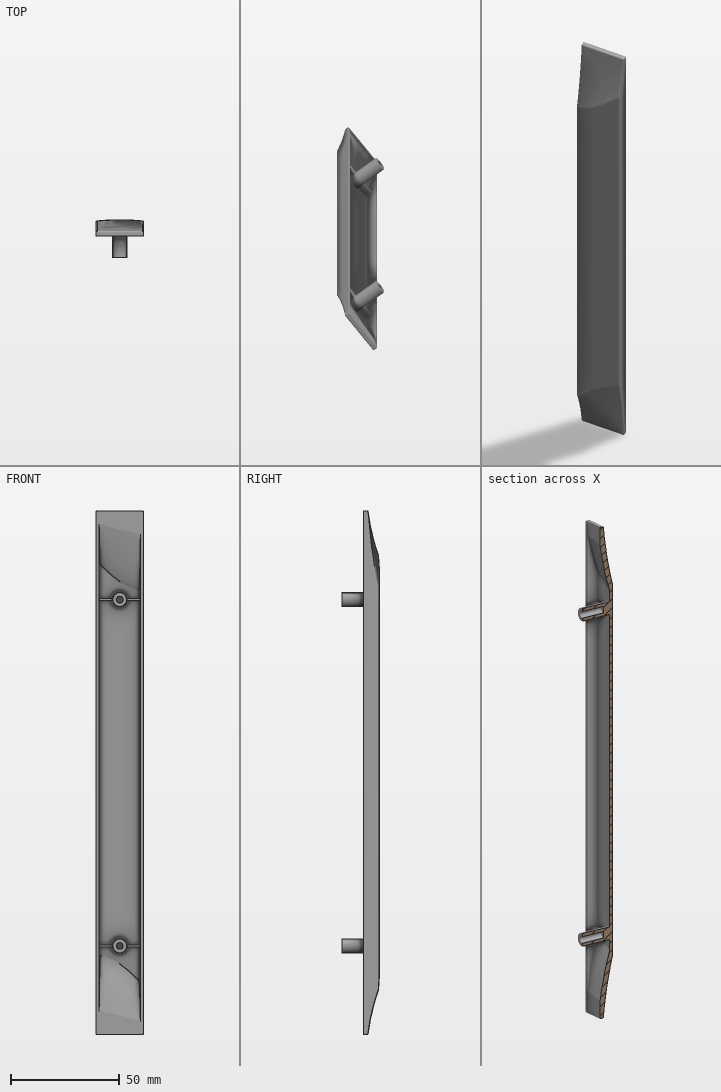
import cadquery as cq

WIDTH = 22.0
LENGTH = 242.0
HEIGHT = 7.5
CROWN = 0.6
EDGE_RADIUS = 0.6

WALL = 1.5
SKIN = 2.0
WALL_DRAFT = 0.5
FLOOR_RADIUS = 0.9
HALF_CAVITY = WIDTH / 2 - WALL

TIP_THICKNESS = 2.1
OUTER_STEEP = ((0.0, TIP_THICKNESS), (12.5, 4.5), (23.0, 8.0))
OUTER_SHALLOW = ((0.0, TIP_THICKNESS), (22.0, 4.5), (40.8, 8.0))
INNER_STEEP = ((6.4, 0.0), (16.5, 2.4), (27.5, 6.0))
INNER_SHALLOW = ((11.0, 0.0), (26.0, 2.3), (41.0, 6.0))

POST_SPACING = 160.0
POST_DIAMETER = 6.5
POST_REACH = 10.0
HOLE_DIAMETER = 3.0
HOLE_DEPTH = 12.0
RIB_THICKNESS = 1.0
RIB_SETBACK = 1.5

MARGIN = 1.0


def crowned_bar(half_width, crown_half_width, height, length):
    """Bar along Z with a flat face on Y = 0 and a crowned, possibly narrower, face at the given height."""
    return (
        cq.Workplane("XY")
        .workplane(offset=-length / 2)
        .moveTo(-half_width, 0)
        .lineTo(half_width, 0)
        .lineTo(crown_half_width, height - CROWN)
        .threePointArc((0, height), (-crown_half_width, height - CROWN))
        .close()
        .extrude(length)
    )


def slope_section(x, slope, base_y, top_y):
    """Closed outline in the plane of the given X, bounded on one side by the slope."""
    def point(distance, y):
        return cq.Vector(x, y, LENGTH / 2 - distance)

    start, middle, finish = [point(*station) for station in slope]
    outer_top = point(-MARGIN, top_y)
    outer_base = point(-MARGIN, base_y)
    return cq.Wire.assembleEdges([
        cq.Edge.makeThreePointArc(start, middle, finish),
        cq.Edge.makeLine(finish, outer_top),
        cq.Edge.makeLine(outer_top, outer_base),
        cq.Edge.makeLine(outer_base, start),
    ])


def slope_body(half_width, steep, shallow, base_y, top_y):
    """Ruled body at the +Z end, steep on the -X side and shallow on the +X side."""
    sections = [
        slope_section(-half_width, steep, base_y, top_y),
        slope_section(half_width, shallow, base_y, top_y),
    ]
    return cq.Workplane(cq.Solid.makeLoft(sections, True))


def cut_both_ends(body, cutter):
    """Cut one end, then the other with the cutter turned half round the Y axis."""
    return body.cut(cutter).cut(cutter.rotate((0, 0, 0), (0, 1, 0), 180))


def outer_bar():
    """Solid bar with sloped ends, rounded on every edge clear of the mounting face."""
    bar = crowned_bar(WIDTH / 2, WIDTH / 2, HEIGHT, LENGTH)
    top_y = OUTER_STEEP[-1][1] + MARGIN
    slope = slope_body(WIDTH / 2, OUTER_STEEP, OUTER_SHALLOW, TIP_THICKNESS, top_y)
    bar = cut_both_ends(bar, slope)
    away_from_mounting_face = cq.selectors.BoxSelector(
        (-WIDTH, TIP_THICKNESS / 4, -LENGTH), (WIDTH, 2 * HEIGHT, LENGTH))
    return bar.edges(away_from_mounting_face).fillet(EDGE_RADIUS)


def cavity():
    """Hollow of the underside, with leaning side walls and sloped ends."""
    hollow = crowned_bar(HALF_CAVITY, HALF_CAVITY - WALL_DRAFT, HEIGHT - SKIN, LENGTH)
    hollow = hollow.edges("|Z and (not <Y)").fillet(FLOOR_RADIUS)
    top_y = INNER_STEEP[-1][1] + MARGIN
    slope = slope_body(HALF_CAVITY, INNER_STEEP, INNER_SHALLOW, 0, top_y)
    return cut_both_ends(hollow, slope)


def cylinder_along_y(radius, start_y, length, z):
    """Cylinder on X = 0 at the given Z, running toward +Y from start_y."""
    base = cq.Vector(0, start_y, z)
    return cq.Workplane(cq.Solid.makeCylinder(radius, length, base, cq.Vector(0, 1, 0)))


def braced_post(z):
    """Screw post with a rib on each side, rooted inside the skin."""
    root_y = HEIGHT - SKIN / 2 - CROWN
    post = cylinder_along_y(POST_DIAMETER / 2, -POST_REACH, POST_REACH + root_y, z)
    rib = cq.Workplane("XY").box(
        2 * HALF_CAVITY + WALL, root_y - RIB_SETBACK, RIB_THICKNESS, centered=(True, False, True))
    return post.union(rib.translate((0, RIB_SETBACK, z)))


result = outer_bar().cut(cavity())
for post_z in (-POST_SPACING / 2, POST_SPACING / 2):
    result = result.union(braced_post(post_z))
    result = result.cut(cylinder_along_y(HOLE_DIAMETER / 2, -POST_REACH, HOLE_DEPTH, post_z))